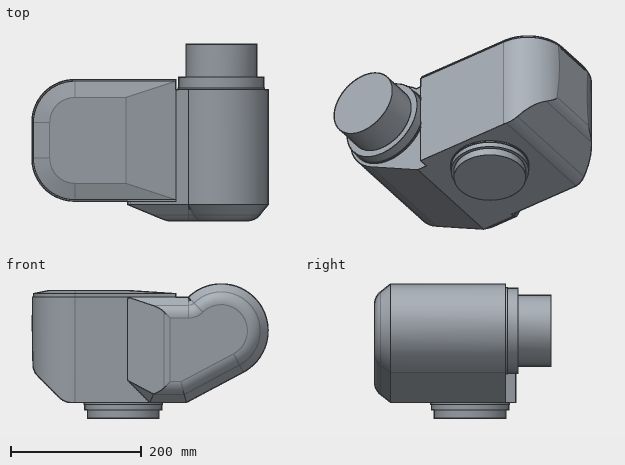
import cadquery as cq
import math


housing_back = 70.0
housing_width = 186.5
housing_front = housing_back - housing_width
housing_middle = (housing_back + housing_front) / 2
housing_right = 80.5
housing_height = 162.0
corner_radius = 66.0
corner_center_x = -74.0
end_bulge_x = -139.3
end_bulge_z = 120.0
end_bulge_radius = 2000.0
undercut_height = 48.0
undercut_fillet = 25.0
selection_margin = 1.0

lid_inset = 2.5
lid_wall_height = 5.0
lid_rise = 5.0
lid_slope_run = 25.0
lid_right_slope_run = 76.5

arm_axis_x = 150.0
arm_axis_z = 110.0
arm_radius = 72.0
arm_back = 54.5
arm_front = -146.5
arm_left = 6.8
arm_top = 161.5
arm_corner_fillet = 4.0
arm_corner_chamfer = 34.0
arm_underside_angle = 28.0
nose_depth = 25.0
nose_inset = 20.0
nose_left_inset = 60.0
nose_fillet = 25.0

lower_flange_steps = [(60.3, 2.5), (59.3, 11.0), (55.0, 24.0)]
rear_flange_steps = [(66.3, 2.5), (65.3, 19.0), (54.4, 69.5)]


def rounded_end_outline(z, half_width, radius, right):
    """Plan outline with two rounded left corners and a square right end."""
    left = corner_center_x - radius
    diagonal = radius * math.sqrt(0.5)
    flat = half_width - radius
    back = housing_middle + half_width
    front = housing_middle - half_width
    return (
        cq.Workplane("XY", origin=(0, 0, z))
        .moveTo(right, front)
        .lineTo(right, back)
        .lineTo(corner_center_x, back)
        .threePointArc(
            (corner_center_x - diagonal, housing_middle + flat + diagonal),
            (left, housing_middle + flat),
        )
        .lineTo(left, housing_middle - flat)
        .threePointArc(
            (corner_center_x - diagonal, housing_middle - flat - diagonal),
            (corner_center_x, front),
        )
        .close()
    )


def crowned_end_x(z):
    """X of the crowned left end at height z."""
    drop = z - end_bulge_z
    return end_bulge_x + end_bulge_radius - math.sqrt(end_bulge_radius**2 - drop**2)


def make_housing():
    block = rounded_end_outline(0, housing_width / 2, corner_radius, housing_right).extrude(housing_height)
    undercut_x = crowned_end_x(undercut_height)
    side = (
        cq.Workplane("XZ", origin=(0, housing_back, 0))
        .moveTo(housing_right, 0)
        .lineTo(housing_right, housing_height)
        .lineTo(crowned_end_x(housing_height), housing_height)
        .threePointArc((end_bulge_x, end_bulge_z), (undercut_x, undercut_height))
        .lineTo(undercut_x + undercut_height, 0)
        .close()
        .extrude(housing_width)
    )
    undercut_edges = cq.selectors.BoxSelector(
        (undercut_x - selection_margin, housing_front - selection_margin, -selection_margin),
        (
            undercut_x + undercut_height + selection_margin,
            housing_back + selection_margin,
            undercut_height + selection_margin,
        ),
    )
    side = side.edges("|Y").edges(undercut_edges).fillet(undercut_fillet)
    return block.intersect(side)


def make_lid():
    half_width = housing_width / 2 - lid_inset
    radius = corner_radius - lid_inset
    wall_top = housing_height + lid_wall_height
    wall = rounded_end_outline(housing_height, half_width, radius, housing_right).extrude(lid_wall_height)
    lower = rounded_end_outline(wall_top, half_width, radius, housing_right)
    upper = rounded_end_outline(
        wall_top + lid_rise,
        half_width - lid_slope_run,
        radius - lid_slope_run,
        housing_right - lid_right_slope_run,
    )
    crown = cq.Solid.makeLoft([lower.val(), upper.val()], True)
    return wall.union(cq.Workplane(crown))


def make_arm_outline(y):
    """Arm outline: straight top running into a round end, then a tangent sloping underside."""
    meeting_x = arm_axis_x - math.sqrt(arm_radius**2 - (arm_top - arm_axis_z) ** 2)
    slope = math.radians(arm_underside_angle)
    tangent_x = arm_axis_x + arm_radius * math.sin(slope)
    tangent_z = arm_axis_z - arm_radius * math.cos(slope)
    return (
        cq.Workplane("XZ", origin=(0, y, 0))
        .moveTo(arm_left, 0)
        .lineTo(arm_left, arm_top)
        .lineTo(meeting_x, arm_top)
        .threePointArc((arm_axis_x + arm_radius, arm_axis_z), (tangent_x, tangent_z))
        .lineTo(tangent_x - tangent_z / math.tan(slope), 0)
        .close()
    )


def make_left_corner_prism():
    """Full-length prism of the arm outline with its lower left corner cut and its left corners rounded."""
    prism = make_arm_outline(arm_back).extrude(arm_back - arm_front)
    prism = prism.edges("|Y").edges("<X").edges("<Z").chamfer(arm_corner_chamfer)
    return prism.edges("|Y").edges("<X").fillet(arm_corner_fillet)


def make_lower_corner_wedge(nose_start):
    """Wedge continuing the 45 degree corner cut along the nose at the same taper as the other sides."""

    def corner_triangle(y, leg):
        return (
            cq.Workplane("XZ", origin=(0, y, 0))
            .moveTo(arm_left, 0)
            .lineTo(arm_left, leg)
            .lineTo(arm_left + leg, 0)
            .close()
            .val()
        )

    end_leg = arm_corner_chamfer + nose_inset * math.sqrt(2)
    wedge = cq.Solid.makeLoft(
        [corner_triangle(nose_start, arm_corner_chamfer), corner_triangle(arm_front, end_leg)],
        True,
    )
    return cq.Workplane(wedge)


def make_arm():
    nose_start = arm_front + nose_depth
    nose_taper = math.degrees(math.atan(nose_inset / nose_depth))
    body = make_arm_outline(arm_back).extrude(arm_back - nose_start)
    nose = make_arm_outline(nose_start).extrude(nose_depth, taper=nose_taper)
    left_slope = (
        cq.Workplane("XY")
        .moveTo(arm_left, nose_start)
        .lineTo(arm_left + nose_left_inset, arm_front)
        .lineTo(arm_left, arm_front)
        .close()
        .extrude(arm_top)
    )
    arm = body.union(nose).cut(left_slope)
    arm = arm.faces("<Y").edges().fillet(nose_fillet)
    return arm.cut(make_lower_corner_wedge(nose_start)).intersect(make_left_corner_prism())


def make_flange(joint, steps):
    """Stacked discs growing from the joint plane along its normal."""
    flange = cq.Workplane()
    near = 0
    for radius, far in steps:
        disc = cq.Workplane(joint).workplane(offset=near).circle(radius).extrude(far - near)
        flange = flange.add(disc)
        near = far
    return flange.combine()


lower_joint = cq.Plane(origin=(0, 0, 0), xDir=(1, 0, 0), normal=(0, 0, -1))
rear_joint = cq.Plane(origin=(arm_axis_x, arm_back, arm_axis_z), xDir=(1, 0, 0), normal=(0, 1, 0))

result = (
    make_housing()
    .union(make_lid())
    .union(make_arm())
    .union(make_flange(lower_joint, lower_flange_steps))
    .union(make_flange(rear_joint, rear_flange_steps))
)